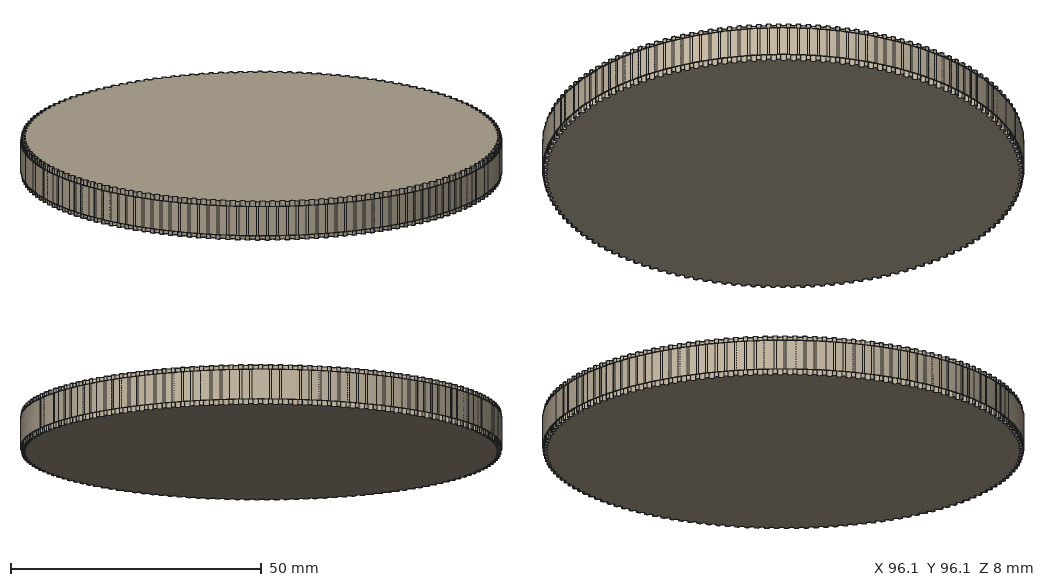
import cadquery as cq
import math

outer_diameter = 96.1
thickness = 8.0
outer_radius = outer_diameter / 2

band_wall = 0.25
band_end_gap = 1.0
band_height = thickness - 2 * band_end_gap

tip_radius = outer_radius - band_wall
groove_depth = 0.75
root_radius = tip_radius - groove_depth
groove_count = 151
groove_width = 1.2
tip_rounding = 0.2
first_groove_angle = -90.0
pitch_angle = 360 / groove_count


def groove_point(radius, offset, groove_angle):
    """Point at a distance along a groove's centre line and an offset to its side."""
    angle = math.radians(groove_angle)
    x = radius * math.cos(angle) - offset * math.sin(angle)
    y = radius * math.sin(angle) + offset * math.cos(angle)
    return (x, y)


def toothed_disc():
    """Disc whose rim is cut by U-shaped grooves with rounded mouths, through its full thickness."""
    half_width = groove_width / 2
    bottom_arc_radius = root_radius + half_width

    corner_offset = half_width + tip_rounding
    corner_centre_radius = tip_radius - tip_rounding
    corner_height = math.sqrt(corner_centre_radius**2 - corner_offset**2)
    mouth_half_angle = math.asin(corner_offset / corner_centre_radius)
    mouth_height = tip_radius * math.cos(mouth_half_angle)
    mouth_offset = tip_radius * math.sin(mouth_half_angle)
    corner_middle_angle = (math.pi / 2 - mouth_half_angle) / 2
    corner_middle_height = corner_height + tip_rounding * math.cos(corner_middle_angle)
    corner_middle_offset = corner_offset - tip_rounding * math.sin(corner_middle_angle)

    outline = cq.Workplane("XY").moveTo(*groove_point(mouth_height, -mouth_offset, first_groove_angle))
    for index in range(groove_count):
        angle = first_groove_angle + index * pitch_angle
        outline = (
            outline.threePointArc(
                groove_point(corner_middle_height, -corner_middle_offset, angle),
                groove_point(corner_height, -half_width, angle),
            )
            .lineTo(*groove_point(bottom_arc_radius, -half_width, angle))
            .threePointArc(
                groove_point(root_radius, 0, angle),
                groove_point(bottom_arc_radius, half_width, angle),
            )
            .lineTo(*groove_point(corner_height, half_width, angle))
            .threePointArc(
                groove_point(corner_middle_height, corner_middle_offset, angle),
                groove_point(mouth_height, mouth_offset, angle),
            )
            .threePointArc(
                groove_point(tip_radius, 0, angle + pitch_angle / 2),
                groove_point(mouth_height, -mouth_offset, angle + pitch_angle),
            )
        )
    return outline.close().extrude(thickness)


def rim_band():
    """Thin ring that rests on the tooth tips and covers the middle of the grooves."""
    return (
        cq.Workplane("XY")
        .workplane(offset=band_end_gap)
        .circle(outer_radius)
        .circle(tip_radius)
        .extrude(band_height)
    )


result = toothed_disc().union(rim_band())